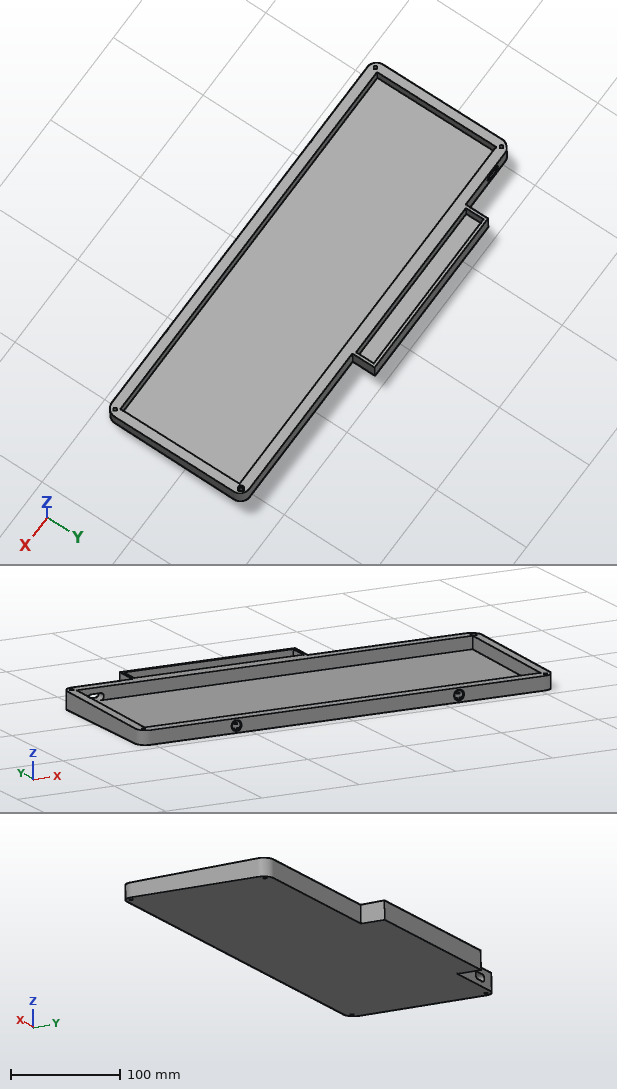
import cadquery as cq

length = 428.0
overall_depth = 178.0
front_height = 14.0
tilt_angle = 1.5
blank_thickness = 43.0

tray_depth = 153.2
corner_radius = 10.3
side_wall = 9.5
end_wall = 10.3
tray_pocket_depth = 13.0

rear_box_left = 72.5
rear_box_length = 181.0
rear_wall = 3.0
rear_pocket_gap = 2.0
rear_pocket_depth = 13.0

screw_hole_diameter = 3.4
screw_inset = 6.5
counterbore_diameter = 6.0
counterbore_depth = 2.0

socket_positions = (99.5, 329.0)
socket_rim_diameter = 10.3
socket_rim_depth = 0.5
socket_diameter = 9.0
socket_depth = 1.3
pin_hole_diameter = 1.03
pin_hole_depth = 3.5
upper_pin_offset = 1.03
upper_pin_rise = 1.55
lower_pin_offset = 1.75
lower_pin_drop = 3.5

slot_left = 21.5
slot_length = 16.3
slot_height = 7.0


def block(x, y, size_x, size_y, thickness):
    """Box hanging below the top plane, with its left front corner at x, y."""
    return cq.Workplane("XY", origin=(x, y, -thickness)).box(size_x, size_y, thickness, centered=False)


def make_blank():
    """Rounded tray and rear compartment as one solid, before hollowing."""
    tray = block(0, 0, length, tray_depth, blank_thickness).edges("|Z").fillet(corner_radius)
    rear_box_start = tray_depth - end_wall
    rear_box_depth = overall_depth - rear_box_start
    return tray.union(block(rear_box_left, rear_box_start, rear_box_length, rear_box_depth, blank_thickness))


def make_tray_pocket():
    pocket_length = length - 2 * side_wall
    pocket_width = tray_depth - 2 * end_wall
    return block(side_wall, end_wall, pocket_length, pocket_width, tray_pocket_depth)


def make_rear_pocket():
    pocket_start = tray_depth + rear_pocket_gap
    pocket_length = rear_box_length - 2 * rear_wall
    pocket_width = overall_depth - rear_wall - pocket_start
    return block(rear_box_left + rear_wall, pocket_start, pocket_length, pocket_width, rear_pocket_depth)


def make_cable_slot():
    slot_center = (slot_left + slot_length / 2, tray_depth, slot_height / 2 - tray_pocket_depth)
    return cq.Workplane("XZ", origin=slot_center).slot2D(slot_length, slot_height).extrude(end_wall)


def make_socket(x):
    """Stepped round socket with a narrow upper and a wide lower pair of pin holes."""
    face = cq.Workplane("XZ", origin=(x, 0, -front_height / 2))
    rim = face.circle(socket_rim_diameter / 2).extrude(-socket_rim_depth)
    bore = face.circle(socket_diameter / 2).extrude(-socket_depth)
    pins = [
        (side * offset, height)
        for side in (-1, 1)
        for offset, height in ((upper_pin_offset, upper_pin_rise), (lower_pin_offset, -lower_pin_drop))
    ]
    pin_holes = face.pushPoints(pins).circle(pin_hole_diameter / 2).extrude(-pin_hole_depth)
    return rim.union(bore).union(pin_holes)


def drill(points, diameter, reach):
    """Round cutters standing on the XY plane, reaching up or (negative) down."""
    return cq.Workplane("XY").pushPoints(points).circle(diameter / 2).extrude(reach)


def tilt(shape):
    """Raise the back by the tilt angle, with the front top edge at the front height."""
    return shape.rotate((0, 0, 0), (1, 0, 0), tilt_angle).translate((0, 0, front_height))


body = make_blank().cut(make_tray_pocket()).cut(make_rear_pocket()).cut(make_cable_slot())
for socket_x in socket_positions:
    body = body.cut(make_socket(socket_x))

near_x, far_x = screw_inset, length - screw_inset
near_y, far_y = screw_inset, tray_depth - screw_inset
body = body.cut(drill([(near_x, near_y), (far_x, near_y)], screw_hole_diameter, -blank_thickness))
body = body.cut(drill([(far_x, far_y)], counterbore_diameter, -counterbore_depth))

body = tilt(body)
above_ground = block(0, -overall_depth, length, 3 * overall_depth, blank_thickness)
body = body.intersect(above_ground.translate((0, 0, blank_thickness)))

result = body.cut(drill([(near_x, far_y), (far_x, far_y)], screw_hole_diameter, blank_thickness))